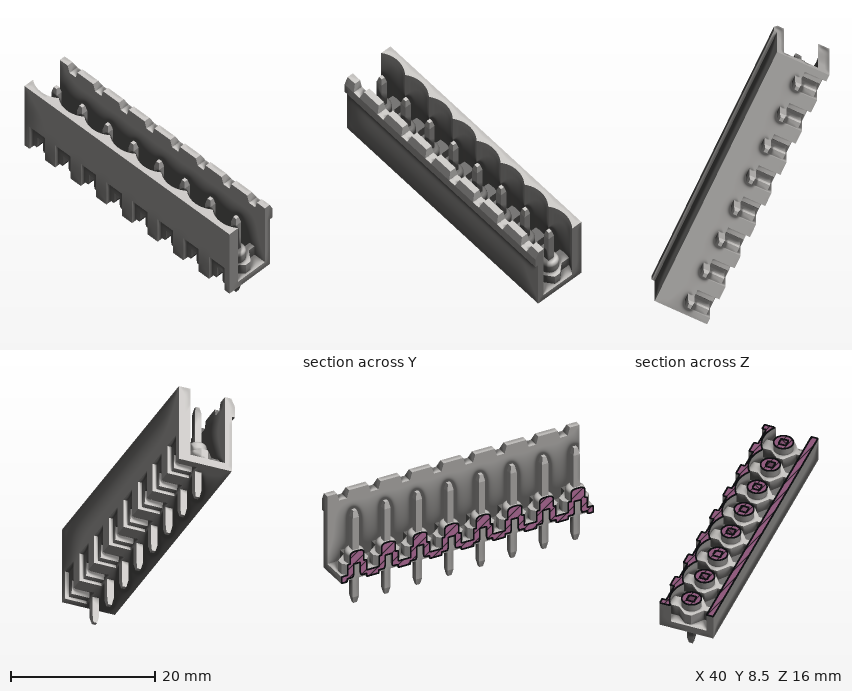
import cadquery as cq

PIN_COUNT = 8
PITCH = 5.0
LENGTH = PIN_COUNT * PITCH
PIN_X = [(i - (PIN_COUNT - 1) / 2) * PITCH for i in range(PIN_COUNT)]
PIN_Y = 3.8

PIN_SIDE = 1.0
PIN_Y_RANGE = (PIN_Y - PIN_SIDE / 2, PIN_Y + PIN_SIDE / 2)
PIN_TIP_SIDE = 0.55
PIN_TIP_LENGTH = 1.05
PIN_BOTTOM = -4
PIN_TOP = 10.8

HEIGHT = 12
DEPTH = 8
FLOOR_TOP = 1.1
SCALLOP_RADIUS = 4
SCALLOP_WALL = 0.85
SCALLOP_CENTER_Y = SCALLOP_WALL + SCALLOP_RADIUS
REAR_WALL = 1.05
CAVITY_REAR = DEPTH - REAR_WALL

LIP_OVERHANG = 0.5
LIP_BOTTOM = 9.05
LIP_CHAMFER_BOTTOM = 10.8
LIP_CHAMFER_TOP_Y = 7.9
NOTCH_BOTTOM = LIP_CHAMFER_BOTTOM
NOTCH_BOTTOM_WIDTH = 1.2
NOTCH_TOP_WIDTH = 1.9

PAD_TOP = 2.8
PAD_HALF_WIDTH = 2.1
PAD_NECK_HALF_WIDTH = 0.5
PAD_FOOT_HALF_WIDTH = 0.95
PAD_FOOT_Y = 2.3
PAD_SIDE_FRONT_Y = 3.6
PAD_SIDE_REAR_Y = 4.55
PAD_NECK_Y = 5.85
COLLAR_DIAMETER = 2.8
COLLAR_TOP = 4.65
COLLAR_FILLET = 0.6

RECESS_WIDTH = 3.0
RECESS_HEIGHT = 4.5
RECESS_DEPTH = 0.6
POCKET_HEIGHT = 0.5
SLOT_WIDTH = PIN_SIDE
SLOT_TOP = 2.55
FLARE_WIDTH = 1.3
FLARE_TOP = 0.9
OPENING_REAR = PIN_Y_RANGE[0]


def box(width, x, y_range, z_range):
    """Box centred on x that spans the given Y and Z ranges."""
    y0, y1 = y_range
    z0, z1 = z_range
    block = cq.Workplane("XY").box(width, y1 - y0, z1 - z0, centered=(True, False, False))
    return block.translate((x, y0, z0))


def make_shell():
    """Solid end profile with the latch lip, extruded along the row."""
    profile = [
        (0, 0),
        (DEPTH, 0),
        (DEPTH, LIP_BOTTOM),
        (DEPTH + LIP_OVERHANG, LIP_BOTTOM),
        (DEPTH + LIP_OVERHANG, LIP_CHAMFER_BOTTOM),
        (LIP_CHAMFER_TOP_Y, HEIGHT),
        (0, HEIGHT),
    ]
    return cq.Workplane("YZ").polyline(profile).close().extrude(LENGTH / 2, both=True)


def make_cavity(x):
    """One pitch of the open trough, with an arc scalloping the front wall."""
    half = PITCH / 2
    cusp_y = SCALLOP_CENTER_Y - (SCALLOP_RADIUS**2 - half**2) ** 0.5
    return (
        cq.Workplane("XY", origin=(x, 0, FLOOR_TOP))
        .moveTo(-half, cusp_y)
        .threePointArc((0, SCALLOP_WALL), (half, cusp_y))
        .lineTo(half, CAVITY_REAR)
        .lineTo(-half, CAVITY_REAR)
        .close()
        .extrude(HEIGHT - FLOOR_TOP)
    )


def make_notch(x):
    """Tapered notch through the top of the rear wall."""
    outline = [
        (x - NOTCH_BOTTOM_WIDTH / 2, NOTCH_BOTTOM),
        (x + NOTCH_BOTTOM_WIDTH / 2, NOTCH_BOTTOM),
        (x + NOTCH_TOP_WIDTH / 2, HEIGHT),
        (x - NOTCH_TOP_WIDTH / 2, HEIGHT),
    ]
    return (
        cq.Workplane("XZ", origin=(0, CAVITY_REAR, 0))
        .polyline(outline)
        .close()
        .extrude(-(REAR_WALL + LIP_OVERHANG))
    )


def make_pad(x):
    """Raised pad joining the front wall to the rear wall, with a round collar on top."""
    right_side = [
        (PAD_FOOT_HALF_WIDTH, SCALLOP_WALL),
        (PAD_FOOT_HALF_WIDTH, PAD_FOOT_Y),
        (PAD_HALF_WIDTH, PAD_SIDE_FRONT_Y),
        (PAD_HALF_WIDTH, PAD_SIDE_REAR_Y),
        (PAD_NECK_HALF_WIDTH, PAD_NECK_Y),
        (PAD_NECK_HALF_WIDTH, CAVITY_REAR),
    ]
    left_side = [(-px, py) for px, py in reversed(right_side)]
    pad = (
        cq.Workplane("XY", origin=(x, 0, FLOOR_TOP))
        .polyline(right_side + left_side)
        .close()
        .extrude(PAD_TOP - FLOOR_TOP)
    )
    collar = (
        cq.Workplane("XY", origin=(x, PIN_Y, PAD_TOP))
        .circle(COLLAR_DIAMETER / 2)
        .extrude(COLLAR_TOP - PAD_TOP)
        .faces(">Z")
        .edges()
        .fillet(COLLAR_FILLET)
    )
    return pad.union(collar)


def make_openings(x):
    """Front recess, shallow underside pocket and flared slot leading to one pin."""
    recess = box(RECESS_WIDTH, x, (0, RECESS_DEPTH), (0, RECESS_HEIGHT))
    pocket = box(RECESS_WIDTH, x, (0, OPENING_REAR), (0, POCKET_HEIGHT))
    slot_outline = [
        (x - FLARE_WIDTH / 2, POCKET_HEIGHT),
        (x + FLARE_WIDTH / 2, POCKET_HEIGHT),
        (x + SLOT_WIDTH / 2, FLARE_TOP),
        (x + SLOT_WIDTH / 2, SLOT_TOP),
        (x - SLOT_WIDTH / 2, SLOT_TOP),
        (x - SLOT_WIDTH / 2, FLARE_TOP),
    ]
    slot = cq.Workplane("XZ").polyline(slot_outline).close().extrude(-OPENING_REAR)
    return recess.union(pocket).union(slot)


def make_pin_hole(x):
    """Square hole that matches the pin, from the underside through the collar."""
    return box(PIN_SIDE, x, PIN_Y_RANGE, (0, COLLAR_TOP))


def make_housing():
    housing = make_shell()
    for x in PIN_X:
        housing = housing.cut(make_cavity(x)).cut(make_notch(x))
    for x in PIN_X:
        housing = housing.union(make_pad(x)).cut(make_openings(x)).cut(make_pin_hole(x))
    return housing


def make_tip(x, base_z, end_z):
    """Four-sided taper from the full pin section to its blunt end."""
    return (
        cq.Workplane("XY", origin=(x, PIN_Y, base_z))
        .rect(PIN_SIDE, PIN_SIDE)
        .workplane(offset=end_z - base_z)
        .rect(PIN_TIP_SIDE, PIN_TIP_SIDE)
        .loft(ruled=True)
    )


def make_pin(x):
    bar_bottom = PIN_BOTTOM + PIN_TIP_LENGTH
    bar_top = PIN_TOP - PIN_TIP_LENGTH
    bar = box(PIN_SIDE, x, PIN_Y_RANGE, (bar_bottom, bar_top))
    return bar.union(make_tip(x, bar_top, PIN_TOP)).union(make_tip(x, bar_bottom, PIN_BOTTOM))


housing = make_housing()
pins = [make_pin(x) for x in PIN_X]

result = cq.Compound.makeCompound([housing.solids().val(), *[pin.solids().val() for pin in pins]])